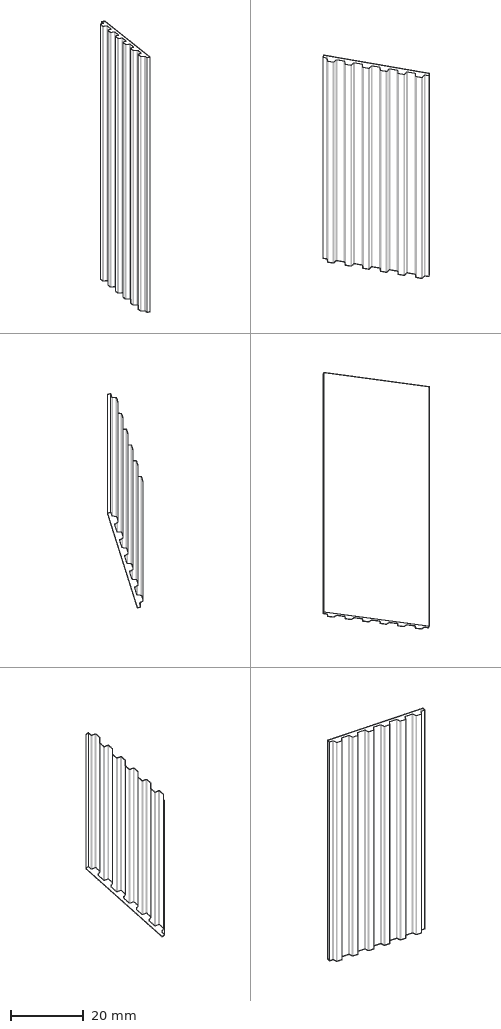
import cadquery as cq
import math

belt_width = 30.0
belt_length = 75.0
total_thickness = 2.2
tooth_height = 1.2
tooth_count = 6
tooth_root_width = 2.6
flank_angle = 20.0
corner_radius = 0.2

pitch = belt_width / tooth_count
tooth_tip_width = tooth_root_width - 2 * tooth_height * math.tan(math.radians(flank_angle))

back_y = total_thickness / 2
tip_y = -total_thickness / 2
root_y = tip_y + tooth_height


def tooth_corners(center_x):
    """Sharp corners of one trapezoidal tooth, from left to right."""
    half_root = tooth_root_width / 2
    half_tip = tooth_tip_width / 2
    return [
        (center_x - half_root, root_y),
        (center_x - half_tip, tip_y),
        (center_x + half_tip, tip_y),
        (center_x + half_root, root_y),
    ]


def belt_outline():
    """Closed belt profile, with half a gap beyond each outer tooth."""
    half_width = belt_width / 2
    points = [(-half_width, back_y), (-half_width, root_y)]
    for index in range(tooth_count):
        points += tooth_corners(-half_width + (index + 0.5) * pitch)
    points += [(half_width, root_y), (half_width, back_y)]
    return points


def belt_body():
    """Extruded belt before its tooth corners are rounded."""
    profile = cq.Workplane("XY").workplane(offset=-belt_length / 2)
    return profile.polyline(belt_outline()).close().extrude(belt_length)


inner_edges = cq.selectors.BoxSelector(
    (-belt_width / 2 + corner_radius, -total_thickness, -belt_length),
    (belt_width / 2 - corner_radius, root_y + corner_radius, belt_length),
)
result = belt_body().edges("|Z").edges(inner_edges).fillet(corner_radius)